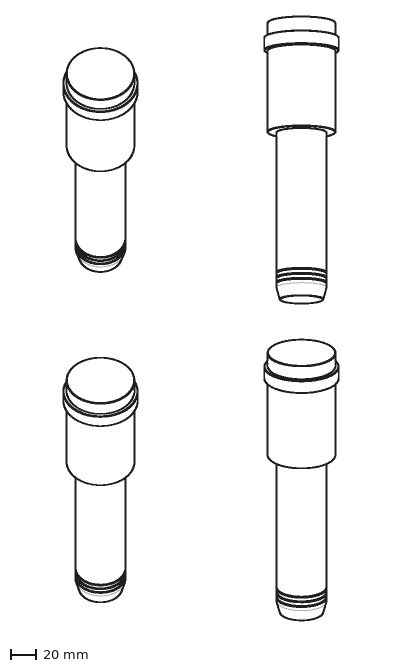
import cadquery as cq
import math

total_height = 223.0
collar_diameter = 59.0
body_diameter = 54.0
shaft_diameter = 40.0

body_bottom = 134.7
collar_bottom = 200.5
collar_top = 211.2

rim_chamfer = 0.5

taper_height = 10.0
taper_angle = 15.0
tip_edge_chamfer = 0.5

groove_count = 3
groove_pitch = 4.0
lowest_groove_height = 13.4
groove_width = 1.1
groove_depth = 0.5


def cylinder(diameter, bottom, top):
    """Solid cylinder on the Z axis between two heights."""
    return cq.Workplane("XY").workplane(offset=bottom).circle(diameter / 2).extrude(top - bottom)


def make_shaft():
    """Plain shaft with a conical tip, lightly broken at the end and chamfered where it meets the body."""
    taper_inset = taper_height * math.tan(math.radians(taper_angle))
    shaft = cylinder(shaft_diameter, 0, body_bottom)
    shaft = shaft.faces("<Z").chamfer(taper_height, taper_inset)
    shaft = shaft.faces("<Z").chamfer(tip_edge_chamfer)
    return shaft.faces(">Z").chamfer(rim_chamfer)


def make_body():
    """Wide cylinder below the collar, chamfered at both rims."""
    return cylinder(body_diameter, body_bottom, collar_bottom).faces("<Z or >Z").chamfer(rim_chamfer)


def make_collar():
    """Collar ring, chamfered at both rims."""
    return cylinder(collar_diameter, collar_bottom, collar_top).faces("<Z or >Z").chamfer(rim_chamfer)


def make_head():
    """Short cylinder above the collar, chamfered at both rims."""
    return cylinder(body_diameter, collar_top, total_height).faces("<Z or >Z").chamfer(rim_chamfer)


def make_groove_cutter(height):
    """Ring with a triangular section that cuts one V groove centred at a height."""
    shaft_radius = shaft_diameter / 2
    section = cq.Workplane("XZ").polyline([
        (shaft_radius, height - groove_width / 2),
        (shaft_radius - groove_depth, height),
        (shaft_radius, height + groove_width / 2),
    ]).close()
    return section.revolve(360, (0, 0, 0), (0, 1, 0))


result = make_shaft().union(make_body()).union(make_collar()).union(make_head())

for index in range(groove_count):
    result = result.cut(make_groove_cutter(lowest_groove_height + index * groove_pitch))